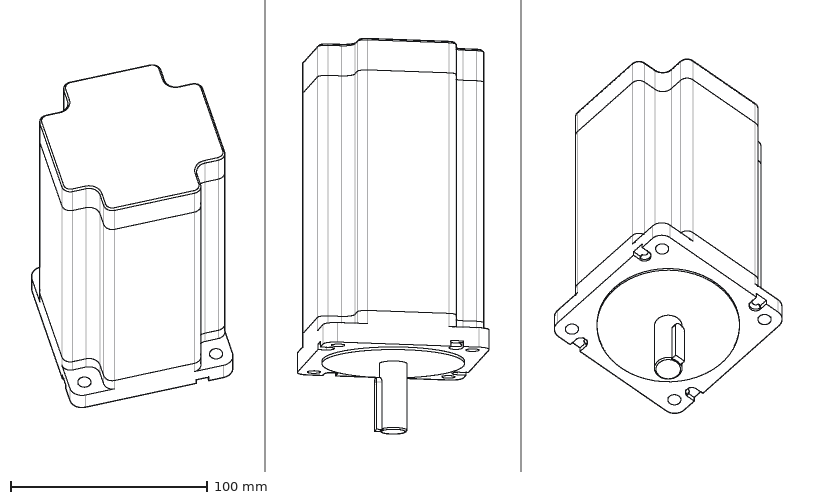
import cadquery as cq

side = 86.0
total_length = 195.5
shaft_reach = 36.8
body_top = total_length - shaft_reach

arm_width = 51.2
arm_corner_radius = 4.5
notch_radius = 5.9
top_edge_size = 1.0

plate_height = 10.2
flange_height = 17.0
flange_corner_radius = 6.5
hole_spacing = 69.6
hole_diameter = 6.6
boss_diameter = 72.7
boss_height = 1.4

slot_width = 6.6
slot_height = 3.0
slot_length = 7.8
slot_end_chamfer = 1.5
slot_offset = 25.5

cover_height = 16.6

shaft_diameter = 14.0
shaft_chamfer = 0.8
key_width = 6.0
key_length = 27.5
key_tip_gap = 0.4
key_top = 9.2


def cross_prism(z_bottom, z_top):
    """Cross-shaped prism: a square with a rounded recess along each vertical corner."""
    height = z_top - z_bottom
    base = cq.Workplane("XY").workplane(offset=z_bottom)
    across = base.rect(side, arm_width).extrude(height)
    along = base.rect(arm_width, side).extrude(height)
    cross = across.edges("|Z").fillet(arm_corner_radius).union(
        along.edges("|Z").fillet(arm_corner_radius))
    box_reach = side / 2 - 2 * arm_corner_radius
    inner_corners = cq.selectors.BoxSelector(
        (-box_reach, -box_reach, z_bottom), (box_reach, box_reach, z_top))
    return cross.edges("|Z").edges(inner_corners).fillet(notch_radius)


def drain_slot_cutter():
    """Slot that enters from the -Y side, with a half-round inner end chamfered at its ceiling."""
    entry_length = slot_length - slot_width / 2
    round_centre = (slot_offset, entry_length - side / 2)
    entry = cq.Workplane("XY").box(slot_width, entry_length, slot_height, centered=(True, False, False))
    entry = entry.translate((slot_offset, -side / 2, 0))
    round_end = cq.Workplane("XY").center(*round_centre).circle(slot_width / 2).extrude(slot_height)
    return entry.union(round_end.faces(">Z").chamfer(slot_end_chamfer))


def make_flange():
    """Square mounting plate, cross-shaped upper part and centring boss, bored for the shaft."""
    plate = cq.Workplane("XY").rect(side, side).extrude(plate_height)
    plate = plate.edges("|Z").fillet(flange_corner_radius)
    boss = cq.Workplane("XY").circle(boss_diameter / 2).extrude(-boss_height)
    flange = plate.union(cross_prism(0, flange_height)).union(boss)
    holes = (
        cq.Workplane("XY")
        .rect(hole_spacing, hole_spacing, forConstruction=True)
        .vertices()
        .circle(hole_diameter / 2)
        .extrude(plate_height)
    )
    flange = flange.cut(holes)
    slot = drain_slot_cutter()
    for angle in (0, 90, 180, 270):
        flange = flange.cut(slot.rotate((0, 0, 0), (0, 0, 1), angle))
    bore = (
        cq.Workplane("XY")
        .workplane(offset=-boss_height)
        .circle(shaft_diameter / 2)
        .extrude(boss_height + flange_height)
    )
    return flange.cut(bore)


def make_stator():
    """Long middle section between the flange and the rear cover."""
    return cross_prism(flange_height, body_top - cover_height)


def make_cover():
    """Rear end section with a chamfered top edge."""
    return cross_prism(body_top - cover_height, body_top).faces(">Z").edges().chamfer(top_edge_size)


def make_shaft():
    """Shaft seated through the flange, with a round-ended key along its +Y side."""
    shaft = (
        cq.Workplane("XY")
        .workplane(offset=-shaft_reach)
        .circle(shaft_diameter / 2)
        .extrude(shaft_reach + flange_height)
        .faces("<Z")
        .chamfer(shaft_chamfer)
    )
    half_width = key_width / 2
    key_bottom = key_tip_gap - shaft_reach
    shoulder_z = key_bottom + key_length - half_width
    key = (
        cq.Workplane("XZ")
        .moveTo(-half_width, key_bottom)
        .lineTo(half_width, key_bottom)
        .lineTo(half_width, shoulder_z)
        .threePointArc((0, shoulder_z + half_width), (-half_width, shoulder_z))
        .close()
        .extrude(-key_top)
    )
    return shaft.union(key)


flange = make_flange()
stator = make_stator()
cover = make_cover()
shaft = make_shaft()

result = cq.Compound.makeCompound([flange.val(), stator.val(), cover.val(), shaft.val()])